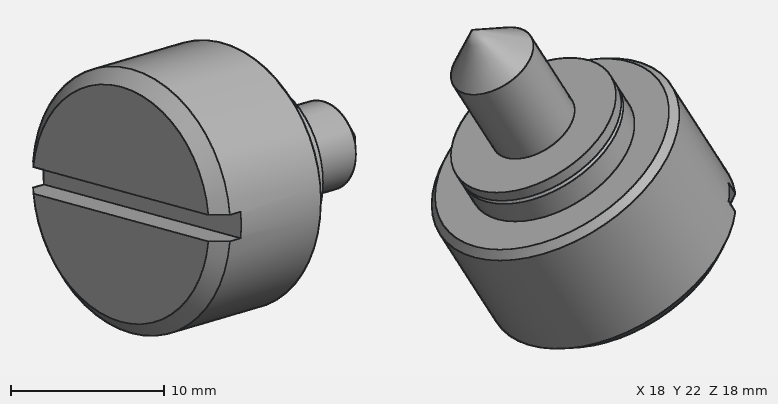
import cadquery as cq

TOTAL_LENGTH = 22.0

HEAD_DIAMETER = 18.0
HEAD_LENGTH = 10.0
FRONT_CHAMFER = 1.0
BACK_CHAMFER = 0.5
SHOULDER_DIAMETER = 12.0
SHOULDER_LENGTH = 2.0
SHOULDER_CHAMFER = 0.3
SLOT_WIDTH = 1.8
SLOT_DEPTH = 2.0

FLANGE_DIAMETER = SHOULDER_DIAMETER
FLANGE_THICKNESS = 0.8
PIN_DIAMETER = 6.0
TIP_LENGTH = PIN_DIAMETER / 2

shoulder_end = HEAD_LENGTH + SHOULDER_LENGTH
flange_end = shoulder_end + FLANGE_THICKNESS
tip_start = TOTAL_LENGTH - TIP_LENGTH


def revolve_about_y(profile):
    """Turn a closed (radius, Y) profile about the Y axis."""
    return cq.Workplane("XY").polyline(profile).close().revolve(360, (0, 0, 0), (0, 1, 0))


def make_head():
    """Chamfered head and shoulder, slotted across the front face."""
    head_radius = HEAD_DIAMETER / 2
    shoulder_radius = SHOULDER_DIAMETER / 2
    head = revolve_about_y([
        (0, 0),
        (head_radius - FRONT_CHAMFER, 0),
        (head_radius, FRONT_CHAMFER),
        (head_radius, HEAD_LENGTH - BACK_CHAMFER),
        (head_radius - BACK_CHAMFER, HEAD_LENGTH),
        (shoulder_radius, HEAD_LENGTH),
        (shoulder_radius, shoulder_end - SHOULDER_CHAMFER),
        (shoulder_radius - SHOULDER_CHAMFER, shoulder_end),
        (0, shoulder_end),
    ])
    slot = cq.Workplane("XY").box(HEAD_DIAMETER, 2 * SLOT_DEPTH, SLOT_WIDTH)
    return head.cut(slot)


def make_pin():
    """Flange, straight shank and conical point, seated on the shoulder."""
    flange_radius = FLANGE_DIAMETER / 2
    pin_radius = PIN_DIAMETER / 2
    return revolve_about_y([
        (0, shoulder_end),
        (flange_radius, shoulder_end),
        (flange_radius, flange_end),
        (pin_radius, flange_end),
        (pin_radius, tip_start),
        (0, TOTAL_LENGTH),
    ])


head = make_head()
pin = make_pin()

result = cq.Compound.makeCompound([head.val(), pin.val()])